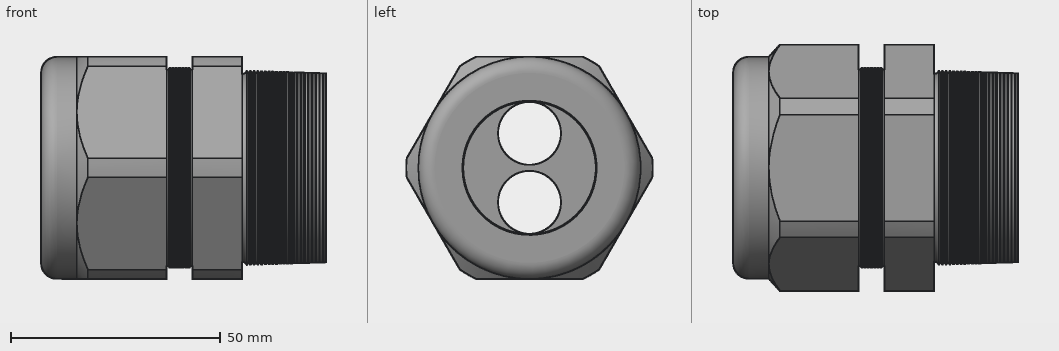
import cadquery as cq
import math

length = 68.1

across_flats = 53.1
corner_diameter = 58.9
cap_hex_start = 8.6
cap_chamfer_length = 2.65
cap_hex_end = 30.0
body_hex_start = 36.15
body_hex_end = 48.05

dome_radius = across_flats / 2
dome_fillet = 3.9

bore_radius = 16.0
insert_clearance = 0.15
insert_recess = 0.6
insert_radius = bore_radius - insert_clearance
cable_hole_diameter = 15.0
cable_hole_spacing = 16.5

flank_angle = math.radians(30)

middle_crest_radius = 23.9
middle_pitch = 0.75
middle_groove_count = 8
middle_crest_flat = 0.3
middle_thread_depth = (middle_pitch - middle_crest_flat) / 2 / math.tan(flank_angle)
middle_root_radius = middle_crest_radius - middle_thread_depth

end_groove_count = 21
end_groove_span = 17.85
end_pitch = end_groove_span / (end_groove_count - 1)
end_first_groove = 49.55
end_crest_flat = 0.1
end_crest_start = end_first_groove - (end_pitch - end_crest_flat) / 2
end_crest_radius = 23.2
end_tip_radius = 22.6
end_thread_depth = (end_pitch - end_crest_flat) / 2 / math.tan(flank_angle)
end_root_radius = end_crest_radius - end_thread_depth
end_taper = (end_crest_radius - end_tip_radius) / (length - end_crest_start)

runout_radius = 1.15


def taper_radius(x):
    """Outside radius of the end thread at a given X."""
    return end_crest_radius - end_taper * (x - end_crest_start)


def groove_points(center):
    """Left lip, root and right lip of an end-thread groove; the lips lie on the tapered outside."""
    depth = taper_radius(center) - end_root_radius
    spread = math.tan(flank_angle)
    left_lip = center - depth * spread / (1 - end_taper * spread)
    right_lip = center + depth * spread / (1 + end_taper * spread)
    return [
        (left_lip, taper_radius(left_lip)),
        (center, end_root_radius),
        (right_lip, taper_radius(right_lip)),
    ]


def revolve_about_x(outline):
    return outline.close().revolve(360, (0, 0, 0), (1, 0, 0))


def make_hexagon(start, end):
    """Hexagonal prism along X with its corners rounded to the corner diameter."""
    corner_distance = across_flats / math.cos(math.radians(30))
    plane = cq.Workplane("YZ", origin=(start, 0, 0))
    prism = plane.polygon(6, corner_distance).extrude(end - start)
    rounding = plane.circle(corner_diameter / 2).extrude(end - start)
    return prism.intersect(rounding)


def make_cap():
    """Domed collar and cap hexagon; the front corners of the hexagon are chamfered by a cone."""
    chamfer_rise = corner_diameter / 2 - dome_radius
    envelope = revolve_about_x(
        cq.Workplane("XY")
        .moveTo(cap_hex_start, 0)
        .lineTo(cap_hex_start, dome_radius)
        .lineTo(cap_hex_start + cap_chamfer_length, dome_radius + chamfer_rise)
        .lineTo(cap_hex_end, dome_radius + chamfer_rise)
        .lineTo(cap_hex_end, 0)
    )
    hexagon = make_hexagon(cap_hex_start, cap_hex_end).intersect(envelope)
    collar = cq.Workplane("YZ").circle(dome_radius).extrude(cap_hex_start)
    collar = collar.faces("<X").edges().fillet(dome_fillet)
    return collar.union(hexagon)


def make_middle_thread():
    """Straight threaded stretch whose V grooves fill the space between the hexagons."""
    first_groove = (cap_hex_end + body_hex_start - (middle_groove_count - 1) * middle_pitch) / 2
    outline = cq.Workplane("XY").moveTo(cap_hex_end, 0).lineTo(cap_hex_end, middle_root_radius)
    outline = outline.lineTo(first_groove, middle_root_radius)
    for index in range(1, middle_groove_count):
        groove = first_groove + index * middle_pitch
        crest = groove - middle_pitch / 2
        outline = outline.lineTo(crest - middle_crest_flat / 2, middle_crest_radius)
        outline = outline.lineTo(crest + middle_crest_flat / 2, middle_crest_radius)
        outline = outline.lineTo(groove, middle_root_radius)
    outline = outline.lineTo(body_hex_start, middle_root_radius).lineTo(body_hex_start, 0)
    return revolve_about_x(outline)


def make_end_thread():
    """Run-out arc, then V grooves that get shallower towards the tip as the outside tapers."""
    runout_length = end_crest_start - body_hex_end
    sweep = math.asin(runout_length / runout_radius)

    def runout_point(angle):
        drop = math.cos(angle) - math.cos(sweep)
        return (
            body_hex_end + runout_radius * math.sin(angle),
            end_crest_radius - runout_radius * drop,
        )

    outline = cq.Workplane("XY").moveTo(body_hex_end, 0).lineTo(*runout_point(0))
    outline = outline.threePointArc(runout_point(sweep / 2), runout_point(sweep))
    lips_and_roots = []
    for index in range(end_groove_count):
        lips_and_roots += groove_points(end_first_groove + index * end_pitch)
    for point in lips_and_roots[1:]:
        outline = outline.lineTo(*point)
    outline = outline.lineTo(length, end_tip_radius).lineTo(length, 0)
    return revolve_about_x(outline)


def make_housing():
    bore = cq.Workplane("YZ").circle(bore_radius).extrude(length)
    housing = make_cap().union(make_middle_thread())
    housing = housing.union(make_hexagon(body_hex_start, body_hex_end))
    return housing.union(make_end_thread()).cut(bore)


def make_insert():
    """Seal plug with two cable holes, one above the other, running its full length."""
    plane = cq.Workplane("YZ", origin=(insert_recess, 0, 0))
    plug = plane.circle(insert_radius).extrude(length - insert_recess)
    holes = (
        plane
        .pushPoints([(0, -cable_hole_spacing / 2), (0, cable_hole_spacing / 2)])
        .circle(cable_hole_diameter / 2)
        .extrude(length - insert_recess)
    )
    return plug.cut(holes)


housing = make_housing()
seal_insert = make_insert()

result = cq.Compound.makeCompound([housing.val(), seal_insert.val()])